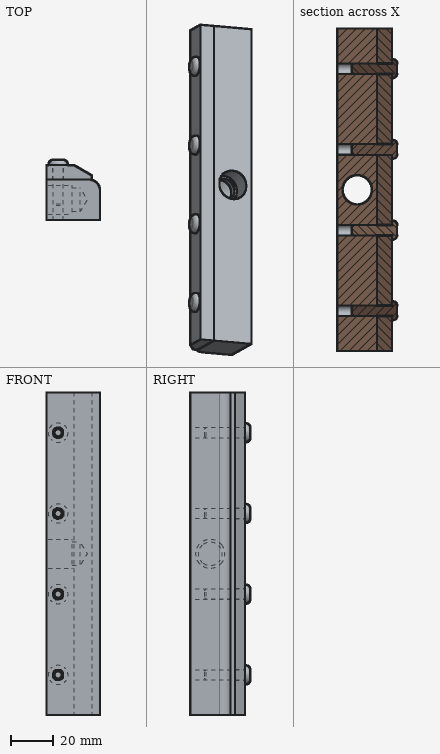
import cadquery as cq
import math

LENGTH = 152.4
BODY_WIDTH = 25.41
BODY_DEPTH = 19.05
PLATE_DEPTH = 6.89
CORNER_RADIUS = 5.08
PLATE_WIDTH = 21.5
PLATE_EDGE = 2.05
BEVEL_ANGLE = 30.0
PLATE_FACE = BODY_DEPTH + PLATE_DEPTH

SCREW_COUNT = 4
SCREW_PITCH = LENGTH / SCREW_COUNT
SCREW_X = 5.57
SCREW_DIAMETER = 4.8
SCREW_HEIGHTS = [SCREW_PITCH * (i + 0.5) for i in range(SCREW_COUNT)]
HEAD_DIAMETER = 9.17
HEAD_CROWN_DIAMETER = 5.0
HEAD_HEIGHT = 2.57
HEAD_RIM = 0.25
SCREW_LENGTH = 19.05
TIP_CHAMFER = 0.65
SCREW_END = PLATE_FACE - SCREW_LENGTH
TAP_DIAMETER = 4.83
CLEARANCE_DIAMETER = 5.16

MOUNT_Y = BODY_DEPTH / 2
MOUNT_Z = LENGTH / 2
MOUNT_DIAMETER = 13.72
MOUNT_DEPTH = 12.0
PILOT_DIAMETER = 11.11
PILOT_DEPTH = 16.0
DRILL_POINT_ANGLE = 118.0


def along_y(x, z, y_start, length, diameter):
    """Cylinder pointing in +Y from y_start."""
    start = cq.Vector(x, y_start, z)
    return cq.Workplane(cq.Solid.makeCylinder(diameter / 2, length, start, cq.Vector(0, 1, 0)))


def make_mount_hole():
    """Stepped cutter turned about the hole axis, with a conical drill point."""
    pilot_radius = PILOT_DIAMETER / 2
    tip_depth = PILOT_DEPTH + pilot_radius / math.tan(math.radians(DRILL_POINT_ANGLE / 2))
    return (
        cq.Workplane("XY")
        .moveTo(0, 0)
        .lineTo(0, MOUNT_DIAMETER / 2)
        .lineTo(MOUNT_DEPTH, MOUNT_DIAMETER / 2)
        .lineTo(MOUNT_DEPTH, pilot_radius)
        .lineTo(PILOT_DEPTH, pilot_radius)
        .lineTo(tip_depth, 0)
        .close()
        .revolve(360, (0, 0, 0), (1, 0, 0))
        .translate((0, MOUNT_Y, MOUNT_Z))
    )


def make_body():
    """Square bar with one rounded corner, tapped along one side."""
    bar = cq.Workplane("XY").box(BODY_WIDTH, BODY_DEPTH, LENGTH, centered=False)
    bar = bar.edges("|Z and >X and >Y").fillet(CORNER_RADIUS)
    bar = bar.cut(make_mount_hole())
    for z in SCREW_HEIGHTS:
        bar = bar.cut(along_y(SCREW_X, z, 0, BODY_DEPTH, TAP_DIAMETER))
    return bar


def make_plate():
    """Clamp plate with a bevelled free edge."""
    bevel_depth = PLATE_DEPTH - PLATE_EDGE
    bevel_width = bevel_depth / math.tan(math.radians(BEVEL_ANGLE))
    plate = (
        cq.Workplane("XY")
        .moveTo(0, BODY_DEPTH)
        .lineTo(PLATE_WIDTH, BODY_DEPTH)
        .lineTo(PLATE_WIDTH, BODY_DEPTH + PLATE_EDGE)
        .lineTo(PLATE_WIDTH - bevel_width, PLATE_FACE)
        .lineTo(0, PLATE_FACE)
        .close()
        .extrude(LENGTH)
    )
    for z in SCREW_HEIGHTS:
        plate = plate.cut(along_y(SCREW_X, z, BODY_DEPTH, PLATE_DEPTH, CLEARANCE_DIAMETER))
    return plate


def make_screw(z):
    """Button-head screw with a chamfered tip, turned about its axis."""
    head_radius = HEAD_DIAMETER / 2
    crown_radius = HEAD_CROWN_DIAMETER / 2
    shank_radius = SCREW_DIAMETER / 2
    head_top = PLATE_FACE + HEAD_HEIGHT
    rim_top = PLATE_FACE + HEAD_RIM
    return (
        cq.Workplane("XY")
        .moveTo(0, SCREW_END)
        .lineTo(shank_radius - TIP_CHAMFER, SCREW_END)
        .lineTo(shank_radius, SCREW_END + TIP_CHAMFER)
        .lineTo(shank_radius, PLATE_FACE)
        .lineTo(head_radius, PLATE_FACE)
        .lineTo(head_radius, rim_top)
        .tangentArcPoint((crown_radius, head_top), relative=False)
        .lineTo(0, head_top)
        .close()
        .revolve(360, (0, 0, 0), (0, 1, 0))
        .translate((SCREW_X, 0, z))
    )


body = make_body()
plate = make_plate()
screws = [make_screw(z).val() for z in SCREW_HEIGHTS]

result = cq.Compound.makeCompound([body.val(), plate.val(), *screws])